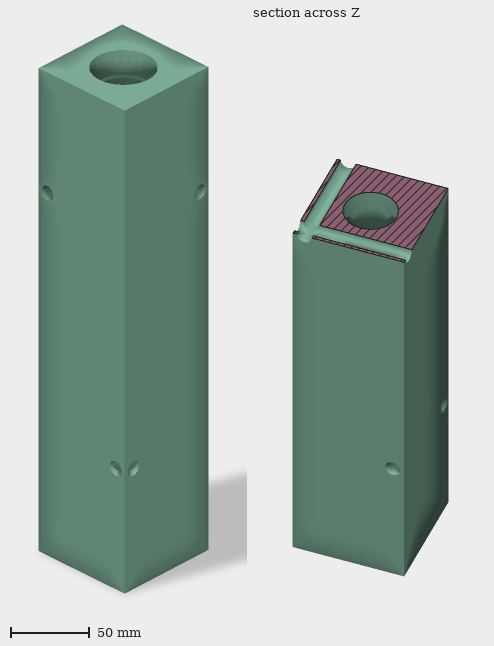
import cadquery as cq

length = 355.5
width = 76.0

bore_diameter = 35.0
socket_mouth_diameter = 43.5
socket_floor_diameter = 41.5
socket_depth = 17.8

cross_hole_diameter = 10.3
cross_hole_inset = 8.0
cross_hole_offset = width / 2 - cross_hole_inset
lower_height = length / 4
upper_height = length - lower_height


def make_bar():
    return cq.Workplane("XY").box(width, width, length, centered=(True, True, False))


def make_bore():
    """Through bore with the conical socket at its top end."""
    bore = cq.Workplane("XY").circle(bore_diameter / 2).extrude(length)
    socket = (
        cq.Workplane("XY", origin=(0, 0, length - socket_depth))
        .circle(socket_floor_diameter / 2)
        .workplane(offset=socket_depth)
        .circle(socket_mouth_diameter / 2)
        .loft()
    )
    return bore.union(socket)


def make_cross_hole(plane, offset, height):
    """Hole through the full width, normal to the given vertical plane."""
    return (
        cq.Workplane(plane)
        .center(offset, height)
        .circle(cross_hole_diameter / 2)
        .extrude(width / 2, both=True)
    )


result = make_bar().cut(make_bore())

for plane, upper_side in (("XZ", -1), ("YZ", 1)):
    upper_offset = upper_side * cross_hole_offset
    result = result.cut(make_cross_hole(plane, upper_offset, upper_height))
    result = result.cut(make_cross_hole(plane, -upper_offset, lower_height))